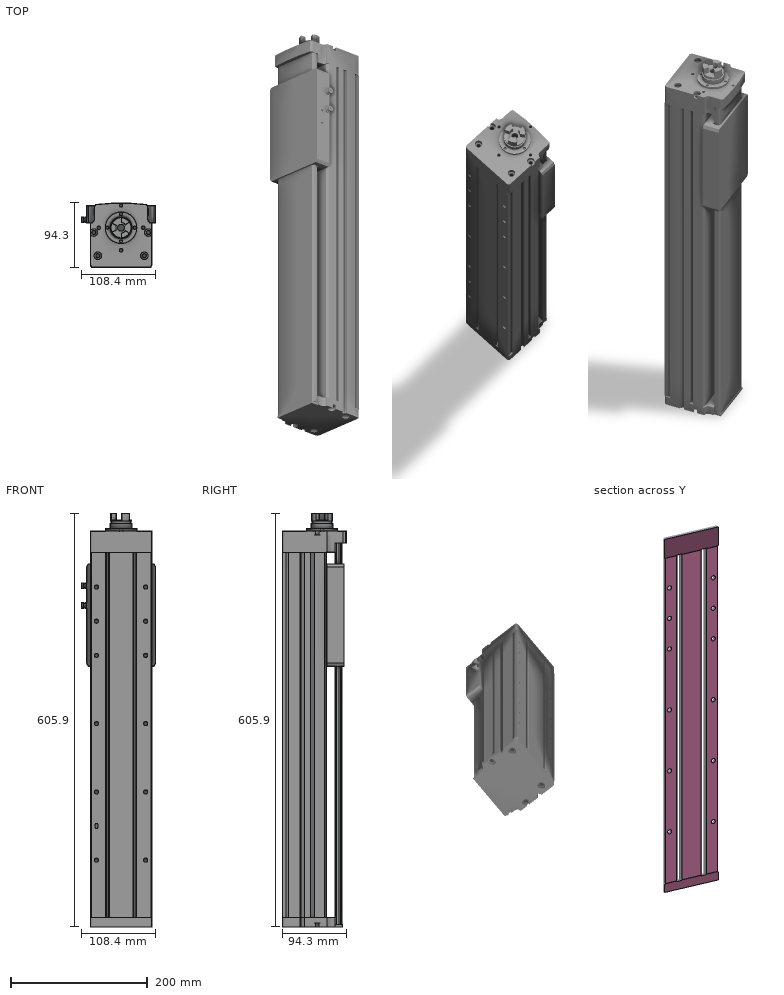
import cadquery as cq
import math


idle_cap_length = 14.0
profile_length = 535.0
drive_cap_length = 31.0
total_height = 605.9
drive_cap_bottom = idle_cap_length + profile_length
drive_cap_top = drive_cap_bottom + drive_cap_length

half_width = 45.0
shoulder_y = 65.0
neck_half_width = 39.0
shoulder_radius = half_width - neck_half_width
neck_start_y = shoulder_y + shoulder_radius
neck_end_y = 88.6
crown_half_width = 37.5
crown_edge_y = 92.0
crown_top_y = 94.28
cap_corner_radius = 4.0

profile_depth = 64.2
profile_bevel_width = 3.5
profile_bevel_height = 2.5
foot_half_width = 43.5
foot_height = 5.0
foot_groove_top = 9.0
foot_groove_half_width = 42.0
mount_slot_x = 20.0
mount_slot_mouth = 3.0
mount_slot_chamfer = 1.2
mount_slot_lip = 3.0
mount_slot_inner_width = 8.0
mount_slot_depth = 7.0
side_slot_y = 44.0
side_slot_width = 5.2
side_slot_depth = 6.0
switch_groove_bottom = 25.5
switch_groove_top = 32.5
switch_groove_depth = 4.0
switch_step_y = 27.5
switch_step_depth = 2.0

mount_hole_x = 36.0
mount_hole_diameter = 6.0
mount_hole_depth = 8.0
mount_hole_heights = (98.0, 198.0, 298.0, 398.0, 448.0, 498.0)
pin_slot_height = 148.0
pin_slot_width = 4.0
pin_slot_length = 7.5
pin_slot_depth = 4.0
drill_point_angle = 118.0

idle_lip_top_y = 88.0
idle_lip_half_width = 37.0

screw_diameter = 6.0
head_diameter = 11.0
head_depth = 6.0
low_screw_x = 34.0
low_screw_y = 17.0
side_screw_x = 40.0
side_screw_y = 51.0
tapped_hole_diameter = 5.0
tapped_hole_depth = 10.0
tapped_hole_x = 32.5
middle_hole_y = 25.0
crown_hole_diameter = 4.5
crown_hole_y = 90.5

cover_half_width = 39.0
cover_bottom_y = 77.0
cover_top_y = 87.0
cover_bevel_width = 3.5
cover_bevel_height = 2.0
cover_groove_bottom_y = 79.5
cover_groove_top_y = 83.0
cover_groove_depth = 1.5
cover_flange_inset = 3.0
cover_bottom = 3.5
cover_top = 562.5

carriage_half_width = 50.5
carriage_bottom_y = 65.0
carriage_top_y = 90.5
carriage_bottom = 382.0
carriage_length = 150.0
carriage_middle = carriage_bottom + carriage_length / 2
carriage_bevel_width = 2.5
carriage_bevel_height = 4.5
cover_clearance = 0.5
side_hole_diameter = 3.24
side_hole_y = 80.0
side_hole_spacing = 20.0
side_hole_depth = 6.0
nipple_y = 69.5
nipple_heights = (471.0, 500.0)
nipple_length = 7.4
nipple_diameter = 8.38
nipple_neck_diameter = 6.0
nipple_neck_start = 2.0
nipple_neck_length = 2.5
nipple_bore = 2.46

spindle_y = 58.0
flange_diameter = 46.0
flange_thickness = 3.6
flange_top = drive_cap_top + flange_thickness
flange_screw_radius = 20.0
flange_screw_diameter = 4.5
hub_diameter = 32.0
hub_top = 591.0
hub_neck_diameter = 29.0
jaw_disc_bottom = 594.5
jaw_disc_top = 596.0
jaw_diameter = 30.5
jaw_count = 3
jaw_half_angle = 26.0
jaw_inner_diameter = 15.5
hub_bore = 10.0


def block(x_range, y_range, z_range):
    """Box between the given limits."""
    sizes = [high - low for low, high in (x_range, y_range, z_range)]
    corner = (x_range[0], y_range[0], z_range[0])
    return cq.Workplane("XY").box(*sizes, centered=False).translate(corner)


def rod(diameter, bottom, top, x=0.0, y=spindle_y):
    """Cylinder along Z."""
    return cq.Workplane("XY", origin=(x, y, bottom)).circle(diameter / 2).extrude(top - bottom)


def rod_along_x(diameter, start_x, end_x, y, z):
    """Cylinder along X."""
    return cq.Workplane("YZ", origin=(start_x, y, z)).circle(diameter / 2).extrude(end_x - start_x)


def mirrored_pair(shape):
    """The shape together with its copy on the other side of X = 0."""
    return shape.union(shape.mirror("YZ"))


def extrude_symmetric(half_outline, bottom, top):
    """Extrusion along Z of an outline given by its points on the +X side."""
    outline = half_outline + [(-x, y) for x, y in reversed(half_outline)]
    return cq.Workplane("XY", origin=(0, 0, bottom)).polyline(outline).close().extrude(top - bottom)


def mounting_slot():
    """T-slot with a chamfered mouth, open at the mounting face."""
    mouth = mount_slot_mouth / 2
    inner = mount_slot_inner_width / 2
    half_outline = [
        (mouth + mount_slot_chamfer, 0),
        (mouth, mount_slot_chamfer),
        (mouth, mount_slot_lip),
        (inner, mount_slot_lip),
        (inner, mount_slot_depth),
    ]
    slot = extrude_symmetric(half_outline, idle_cap_length, drive_cap_bottom)
    return slot.translate((mount_slot_x, 0, 0))


def side_groove(bottom_y, top_y, depth, bottom_z):
    """Rectangular groove in the +X side, running up to the top of the profile."""
    return block((half_width - depth, half_width), (bottom_y, top_y), (bottom_z, drive_cap_bottom))


def switch_groove(bottom_z):
    """Stepped groove in the +X side that takes the sensors."""
    step = side_groove(switch_groove_bottom, switch_groove_top, switch_step_depth, bottom_z)
    return step.union(side_groove(switch_step_y, switch_groove_top, switch_groove_depth, bottom_z))


def mounting_hole(x, z):
    """Blind hole with a drill point, entering from the mounting face."""
    radius = mount_hole_diameter / 2
    point_depth = radius / math.tan(math.radians(drill_point_angle / 2))
    half_section = [
        (0, 0),
        (radius, 0),
        (radius, mount_hole_depth),
        (0, mount_hole_depth + point_depth),
    ]
    hole = cq.Workplane("XY").polyline(half_section).close().revolve(360, (0, 0), (0, 1))
    return hole.translate((x, 0, z))


def make_profile():
    """Extruded base with slots in its mounting face and sides."""
    half_outline = [
        (foot_half_width, 0),
        (foot_half_width, foot_height),
        (foot_groove_half_width, foot_height),
        (foot_groove_half_width, foot_groove_top),
        (half_width, foot_groove_top),
        (half_width, profile_depth - profile_bevel_height),
        (half_width - profile_bevel_width, profile_depth),
    ]
    body = extrude_symmetric(half_outline, idle_cap_length, drive_cap_bottom)
    side_slot_bottom = side_slot_y - side_slot_width / 2
    side_slot_top = side_slot_y + side_slot_width / 2
    body = body.cut(mirrored_pair(mounting_slot()))
    body = body.cut(mirrored_pair(
        side_groove(side_slot_bottom, side_slot_top, side_slot_depth, idle_cap_length)))
    body = body.cut(mirrored_pair(switch_groove(idle_cap_length)))
    for z in mount_hole_heights:
        body = body.cut(mirrored_pair(mounting_hole(mount_hole_x, z)))
    pin_slot = cq.Workplane("XZ", origin=(-mount_hole_x, 0, pin_slot_height))
    pin_slot = pin_slot.slot2D(pin_slot_length, pin_slot_width, 90).extrude(-pin_slot_depth)
    return body.cut(pin_slot)


def cap_blank(bottom, length):
    """Cap outline with hollow shoulders and an arched crown."""
    hollow_x = half_width - shoulder_radius * math.cos(math.pi / 4)
    hollow_y = neck_start_y - shoulder_radius * math.sin(math.pi / 4)
    blank = (
        cq.Workplane("XY", origin=(0, 0, bottom))
        .moveTo(-half_width, 0)
        .lineTo(half_width, 0)
        .lineTo(half_width, shoulder_y)
        .threePointArc((hollow_x, hollow_y), (neck_half_width, neck_start_y))
        .lineTo(neck_half_width, neck_end_y)
        .lineTo(crown_half_width, crown_edge_y)
        .threePointArc((0, crown_top_y), (-crown_half_width, crown_edge_y))
        .lineTo(-neck_half_width, neck_end_y)
        .lineTo(-neck_half_width, neck_start_y)
        .threePointArc((-hollow_x, hollow_y), (-half_width, shoulder_y))
        .close()
        .extrude(length)
    )
    return blank.edges("|Z and <Y").fillet(cap_corner_radius)


def cover_seat(bottom, top):
    """Space on the +Y side of a cap that the cover occupies."""
    return block((-half_width, half_width), (cover_bottom_y, crown_top_y), (bottom, top))


def screw_hole(x, y, bottom, top, head_bottom):
    """Through hole with a counterbore that starts at the given height."""
    head = rod(head_diameter, head_bottom, head_bottom + head_depth, x, y)
    return rod(screw_diameter, bottom, top, x, y).union(head)


def cut_screw_holes(cap, bottom, top, head_bottom):
    """Four counterbored holes; the upper two break out through the sides."""
    for x, y in ((low_screw_x, low_screw_y), (side_screw_x, side_screw_y)):
        cap = cap.cut(mirrored_pair(screw_hole(x, y, bottom, top, head_bottom)))
    return cap


def make_idle_cap():
    """Low cap with a thin lip below the end of the cover."""
    cap = cap_blank(0, idle_cap_length)
    cap = cap.cut(cover_seat(cover_bottom, idle_cap_length))
    lip_height = (0, cover_bottom)
    cap = cap.cut(block((-half_width, half_width), (idle_lip_top_y, crown_top_y), lip_height))
    lip_end = block((idle_lip_half_width, half_width), (cover_bottom_y, crown_top_y), lip_height)
    cap = cap.cut(mirrored_pair(lip_end))
    cap = cap.cut(mirrored_pair(switch_groove(0)))
    return cut_screw_holes(cap, 0, idle_cap_length, 0)


def make_drive_cap():
    """Tall cap that overhangs the top end of the cover."""
    cap = cap_blank(drive_cap_bottom, drive_cap_length)
    cap = cap.cut(cover_seat(drive_cap_bottom, cover_top))
    cap = cut_screw_holes(cap, drive_cap_bottom, drive_cap_top, drive_cap_top - head_depth)
    hole_bottom = drive_cap_top - tapped_hole_depth
    for x, y in ((-tapped_hole_x, spindle_y), (tapped_hole_x, spindle_y), (0, middle_hole_y)):
        cap = cap.cut(rod(tapped_hole_diameter, hole_bottom, drive_cap_top, x, y))
    return cap.cut(rod(crown_hole_diameter, hole_bottom, drive_cap_top, 0, crown_hole_y))


def cover_blank(bottom, top, clearance=0.0):
    """Flat bar with bevelled upper edges, optionally grown on all sides."""
    side = cover_half_width + clearance
    upper_y = cover_top_y + clearance
    lower_y = cover_bottom_y - clearance
    half_outline = [
        (side, lower_y),
        (side, upper_y - cover_bevel_height),
        (side - cover_bevel_width, upper_y),
    ]
    return extrude_symmetric(half_outline, bottom, top)


def make_cover():
    """Bar with a groove along each side and a narrower strip underneath."""
    groove = block(
        (cover_half_width - cover_groove_depth, cover_half_width),
        (cover_groove_bottom_y, cover_groove_top_y),
        (cover_bottom, cover_top),
    )
    flange_relief = block(
        (cover_half_width - cover_flange_inset, cover_half_width),
        (cover_bottom_y, cover_groove_bottom_y),
        (cover_bottom, cover_top),
    )
    return cover_blank(cover_bottom, cover_top).cut(mirrored_pair(groove.union(flange_relief)))


def nipple(z):
    """Grease nipple with a turned neck on the -X side."""
    face = -carriage_half_width
    tip = face - nipple_length
    neck_start = face - nipple_neck_start
    stem = rod_along_x(nipple_diameter, face, tip, nipple_y, z)
    neck_end = neck_start - nipple_neck_length
    ring = rod_along_x(nipple_diameter, neck_start, neck_end, nipple_y, z)
    ring = ring.cut(rod_along_x(nipple_neck_diameter, neck_start, neck_end, nipple_y, z))
    bore = rod_along_x(nipple_bore, face, tip, nipple_y, z)
    return stem.cut(ring).cut(bore)


def make_carriage():
    """Block with bevelled ends, wrapped around the cover."""
    carriage_top = carriage_bottom + carriage_length
    flank_half_length = carriage_length / 2 - carriage_bevel_height
    end_half_width = carriage_half_width - carriage_bevel_width
    half_outline = [
        (end_half_width, -carriage_length / 2),
        (carriage_half_width, -flank_half_length),
        (carriage_half_width, flank_half_length),
        (end_half_width, carriage_length / 2),
    ]
    outline = half_outline + [(-x, z) for x, z in reversed(half_outline)]
    body = cq.Workplane("XZ", origin=(0, carriage_bottom_y, carriage_middle)).polyline(outline).close()
    body = body.extrude(carriage_bottom_y - carriage_top_y)
    body = body.cut(cover_blank(carriage_bottom, carriage_top, cover_clearance))
    for offset in (-side_hole_spacing / 2, side_hole_spacing / 2):
        body = body.cut(rod_along_x(side_hole_diameter, -carriage_half_width,
                                    side_hole_depth - carriage_half_width,
                                    side_hole_y, carriage_middle + offset))
    for z in nipple_heights:
        body = body.union(nipple(z))
    return body


def make_flange():
    """Round plate with four screw holes around the spindle."""
    flange = rod(flange_diameter, drive_cap_top, flange_top)
    holes = (
        cq.Workplane("XY", origin=(0, spindle_y, drive_cap_top))
        .polarArray(flange_screw_radius, 0, 360, 4)
        .circle(flange_screw_diameter / 2)
        .extrude(flange_thickness)
    )
    return flange.cut(holes)


def jaw(angle):
    """Sector of a ring, centred on the given angle from +X."""
    ring = rod(jaw_diameter, jaw_disc_top, total_height)
    ring = ring.cut(rod(jaw_inner_diameter, jaw_disc_top, total_height))
    reach = jaw_diameter
    half_spread = reach * math.tan(math.radians(jaw_half_angle))
    sector = cq.Workplane("XY").polyline([(0, 0), (reach, -half_spread), (reach, half_spread)]).close()
    sector = sector.extrude(total_height - jaw_disc_top).rotate((0, 0, 0), (0, 0, 1), angle)
    return ring.intersect(sector.translate((0, spindle_y, jaw_disc_top)))


def make_coupling():
    """Jaw coupling hub, one jaw pointing to -X."""
    hub = rod(hub_diameter, flange_top, hub_top)
    hub = hub.union(rod(hub_neck_diameter, hub_top, jaw_disc_bottom))
    hub = hub.union(rod(jaw_diameter, jaw_disc_bottom, jaw_disc_top))
    for index in range(jaw_count):
        hub = hub.union(jaw(180 + index * 360 / jaw_count))
    return hub.cut(rod(hub_bore, flange_top, total_height))


profile = make_profile()
idle_cap = make_idle_cap()
drive_cap = make_drive_cap()
cover = make_cover()
carriage = make_carriage()
flange = make_flange()
coupling = make_coupling()

result = cq.Compound.makeCompound([
    profile.val(),
    idle_cap.val(),
    drive_cap.val(),
    cover.val(),
    carriage.val(),
    flange.val(),
    coupling.val(),
])